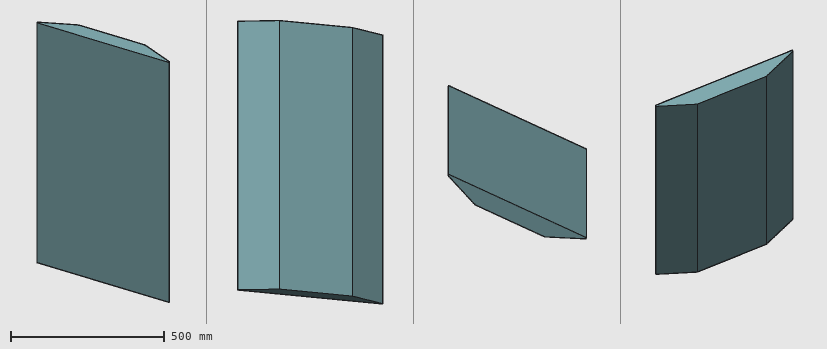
import cadquery as cq

width = 500.0
depth = 57.0
height = 910.0

edge_thickness = 5.0
back_width = 252.0

half_width = width / 2
half_back = back_width / 2
front_y = -depth / 2
back_y = depth / 2
edge_y = front_y + edge_thickness

result = (
    cq.Workplane("XY")
    .workplane(offset=-height / 2)
    .moveTo(-half_width, front_y)
    .lineTo(half_width, front_y)
    .lineTo(half_width, edge_y)
    .lineTo(half_back, back_y)
    .lineTo(-half_back, back_y)
    .lineTo(-half_width, edge_y)
    .close()
    .extrude(height)
)